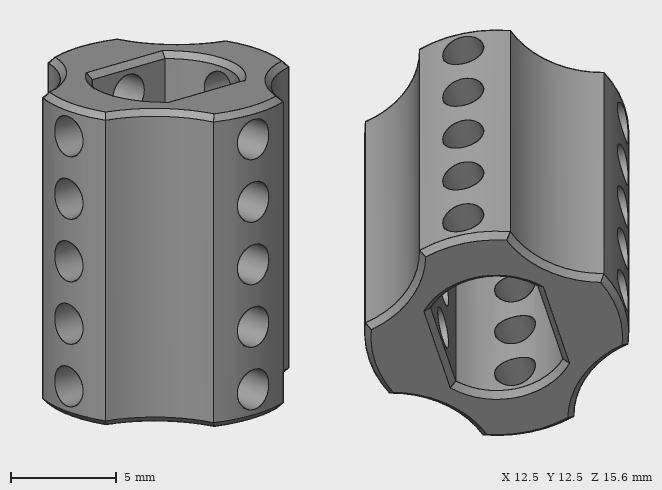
import cadquery as cq
import math

length = 15.62
outer_diameter = 12.5
end_chamfer = 0.3

full_turn = 360.0
lobe_count = 4
half_lobe_angle = full_turn / lobe_count / 2
flute_radius = 5.0
flute_centre_distance = 2 * flute_radius

bore_diameter = 7.0
bore_across_flats = 5.25

cross_hole_diameter = 2.0
cross_holes_per_row = 5
cross_hole_pitch = length / cross_holes_per_row


def fluted_body():
    """Cylinder along Z with a flute cut between each pair of lobes."""
    body = cq.Workplane("XY").circle(outer_diameter / 2).extrude(length)
    flutes = (
        cq.Workplane("XY")
        .polarArray(flute_centre_distance, half_lobe_angle, full_turn, lobe_count)
        .circle(flute_radius)
        .extrude(length)
    )
    return body.cut(flutes)


def flatted_bore():
    """Double-D bore: a round bore narrowed by two parallel flats."""
    bore_radius = bore_diameter / 2
    half_width = bore_across_flats / 2
    flat_end = math.sqrt(bore_radius**2 - half_width**2)
    return (
        cq.Workplane("XY")
        .moveTo(half_width, -flat_end)
        .lineTo(half_width, flat_end)
        .threePointArc((0, bore_radius), (-half_width, flat_end))
        .lineTo(-half_width, -flat_end)
        .threePointArc((0, -bore_radius), (half_width, -flat_end))
        .close()
        .extrude(length)
    )


def cross_hole_row(plane):
    """One row of holes, evenly spaced along Z, running right across the body."""
    first_height = cross_hole_pitch / 2
    heights = [first_height + i * cross_hole_pitch for i in range(cross_holes_per_row)]
    return (
        cq.Workplane(plane)
        .pushPoints([(0, height) for height in heights])
        .circle(cross_hole_diameter / 2)
        .extrude(outer_diameter / 2, both=True)
    )


result = fluted_body().cut(flatted_bore())

result = result.faces("<Z or >Z").edges().chamfer(end_chamfer)

for plane in ("XZ", "YZ"):
    result = result.cut(cross_hole_row(plane))